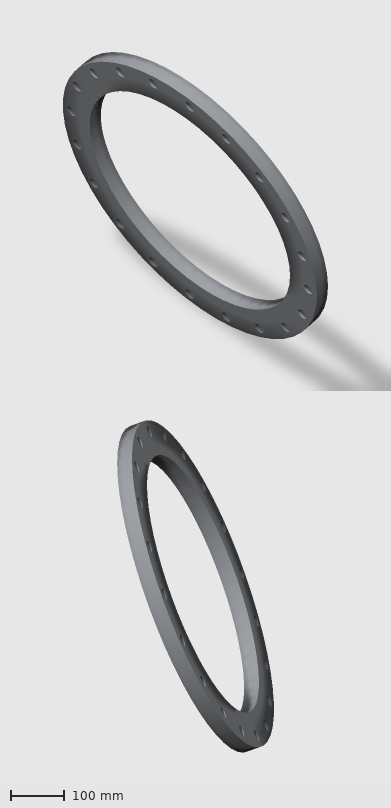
import cadquery as cq

outer_diameter = 645.0
bore_diameter = 508.0
thickness = 30.0

bolt_circle_diameter = 600.5
bolt_hole_diameter = 22.0
bolt_hole_count = 20

back_face = cq.Workplane("XZ", origin=(0, thickness / 2, 0))


def make_ring():
    """Plain ring with its axis along Y."""
    return back_face.circle(outer_diameter / 2).circle(bore_diameter / 2).extrude(thickness)


def make_bolt_holes():
    """Cutting cylinders for the through bolt holes."""
    return (
        back_face
        .polarArray(bolt_circle_diameter / 2, 0, 360, bolt_hole_count)
        .circle(bolt_hole_diameter / 2)
        .extrude(thickness)
    )


result = make_ring().cut(make_bolt_holes())